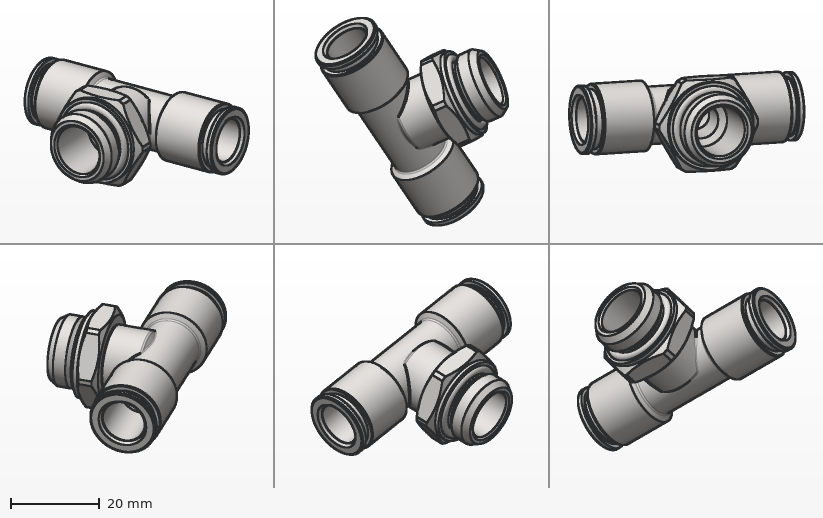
import cadquery as cq
import math

half_length = 25.5
bore_radius = 4.0
tube_radius = 6.55
socket_radius = 8.0
socket_outer_x = 22.5
socket_inner_x = 10.6
socket_chamfer_length = 0.3
socket_chamfer_depth = 0.15
shoulder_angle = math.radians(60)
shoulder_fillet = 0.5

collar_radius = 7.75
collar_thickness = 1.2
collar_chamfer_length = 0.25
collar_chamfer_depth = 0.3
sleeve_radius = 6.85
sleeve_relief_depth = 0.15
sleeve_relief_length = 0.2

step_angle = math.radians(30)

mouth_radius = 5.65
mouth_chamfer_depth = 0.5
mouth_chamfer_length = 0.85
tube_seat_radius = 5.0
tube_seat_x = 12.25

hub_radius = 7.9
hub_shoulder_y = -2.3
cap_slope = 2 / 3
cap_round = 0.55
hub_blend = 0.25
hub_end_y = -10.75
relief_radius = 7.65

hex_start_y = -10.95
hex_end_y = -16.0
across_flats = 21.0
hex_corner_radius = 11.8
hex_face_radius = 10.05
hex_chamfer_angle = math.radians(30)
flange_end_y = -17.05
seal_outer_radius = 9.25

neck_radius = 7.25
neck_end_y = -18.25
thread_radius = 8.25
thread_start_y = -19.4
thread_taper_y = -22.3
branch_end_y = -24.0
thread_tip_radius = 7.2

branch_mouth_radius = 6.2
branch_mouth_chamfer = 0.5
branch_bore_end_y = -11.2


def ring_on_x(profile):
    """Revolve a closed (x, radius) outline about the X axis."""
    return profile.close().revolve(360, (0, 0, 0), (1, 0, 0))


def ring_on_y(profile):
    """Revolve a closed (radius, y) outline about the Y axis."""
    return profile.close().revolve(360, (0, 0, 0), (0, 1, 0))


def make_junction():
    """Plain middle of the run joined to the hub, with a blend around the joint."""
    tube = cq.Workplane("YZ").circle(tube_radius).extrude(socket_inner_x, both=True)
    cap_top_y = hub_shoulder_y + cap_slope * hub_radius
    hub = ring_on_y(
        cq.Workplane("XY")
        .moveTo(0, hub_end_y)
        .lineTo(hub_radius, hub_end_y)
        .lineTo(hub_radius, hub_shoulder_y)
        .lineTo(0, cap_top_y)
    )
    hub = hub.edges("%CIRCLE").edges(">Y").fillet(cap_round)
    junction = tube.union(hub)
    margin = 0.05
    joint = cq.selectors.BoxSelector(
        (-hub_radius - margin, -tube_radius - margin, -tube_radius - margin),
        (hub_radius + margin, 0, tube_radius + margin),
        boundingbox=True,
    )
    return junction.edges(joint).fillet(hub_blend)


def make_socket():
    """Socket with its conical shoulder and release collar, at the +X end."""
    shoulder_run = 1 / math.tan(shoulder_angle)
    shoulder_foot_x = socket_inner_x - (socket_radius - tube_radius) * shoulder_run
    tangent = shoulder_fillet * math.tan(shoulder_angle / 2)
    fillet_top = (
        shoulder_foot_x + tangent * math.cos(shoulder_angle),
        tube_radius + tangent * math.sin(shoulder_angle),
    )
    collar_x = half_length - collar_thickness
    sleeve_relief_radius = sleeve_radius - sleeve_relief_depth
    return ring_on_x(
        cq.Workplane("XY")
        .moveTo(0, 0)
        .lineTo(0, tube_radius)
        .lineTo(shoulder_foot_x - tangent, tube_radius)
        .tangentArcPoint(fillet_top, relative=False)
        .lineTo(socket_inner_x, socket_radius)
        .lineTo(socket_outer_x - socket_chamfer_length, socket_radius)
        .lineTo(socket_outer_x, socket_radius - socket_chamfer_depth)
        .lineTo(socket_outer_x, sleeve_radius)
        .lineTo(collar_x - 2 * sleeve_relief_length, sleeve_radius)
        .lineTo(collar_x - sleeve_relief_length, sleeve_relief_radius)
        .lineTo(collar_x, sleeve_relief_radius)
        .lineTo(collar_x, collar_radius)
        .lineTo(half_length - collar_chamfer_length, collar_radius)
        .lineTo(half_length, collar_radius - collar_chamfer_depth)
        .lineTo(half_length, 0)
    )


def make_hexagon():
    """Hexagon with turned corners and a conical chamfer on both faces."""
    height = hex_start_y - hex_end_y
    prism = (
        cq.Workplane("XZ", origin=(0, hex_start_y, 0))
        .polygon(6, across_flats, circumscribed=True)
        .extrude(height)
        .rotate((0, 0, 0), (0, 1, 0), 30)
    )
    chamfer = (hex_corner_radius - hex_face_radius) * math.tan(hex_chamfer_angle)
    turned = ring_on_y(
        cq.Workplane("XY")
        .moveTo(0, hex_start_y)
        .lineTo(hex_face_radius, hex_start_y)
        .lineTo(hex_corner_radius, hex_start_y - chamfer)
        .lineTo(hex_corner_radius, hex_end_y + chamfer)
        .lineTo(hex_face_radius, hex_end_y)
        .lineTo(0, hex_end_y)
    )
    return prism.intersect(turned)


def make_branch_end():
    """Relief, flange, half-round seal and chamfered thread of the branch."""
    seal_section_radius = (seal_outer_radius - neck_radius) / 2
    seal_crest = (neck_radius + seal_section_radius, flange_end_y - seal_section_radius)
    return ring_on_y(
        cq.Workplane("XY")
        .moveTo(0, hub_end_y)
        .lineTo(relief_radius, hub_end_y)
        .lineTo(relief_radius, hex_end_y)
        .lineTo(hex_face_radius, hex_end_y)
        .lineTo(hex_face_radius, flange_end_y)
        .lineTo(seal_outer_radius, flange_end_y)
        .threePointArc(seal_crest, (neck_radius, flange_end_y))
        .lineTo(neck_radius, neck_end_y)
        .lineTo(thread_radius, thread_start_y)
        .lineTo(thread_radius, thread_taper_y)
        .lineTo(thread_tip_radius, branch_end_y)
        .lineTo(0, branch_end_y)
    )


def make_socket_bore():
    """Bore of the +X half: chamfered mouth, tube seat and conical step to the through bore."""
    step_run = (tube_seat_radius - bore_radius) * math.tan(step_angle)
    throat_x = half_length - mouth_chamfer_length
    return ring_on_x(
        cq.Workplane("XY")
        .moveTo(0, 0)
        .lineTo(0, bore_radius)
        .lineTo(tube_seat_x - step_run, bore_radius)
        .lineTo(tube_seat_x, tube_seat_radius)
        .lineTo(throat_x, tube_seat_radius)
        .lineTo(throat_x, mouth_radius - mouth_chamfer_depth)
        .lineTo(half_length, mouth_radius)
        .lineTo(half_length, 0)
    )


def make_branch_bore():
    """Bore of the branch: chamfered mouth, wide bore and conical step to the run's bore size."""
    wide_radius = branch_mouth_radius - branch_mouth_chamfer
    step_run = (wide_radius - bore_radius) * math.tan(step_angle)
    return ring_on_y(
        cq.Workplane("XY")
        .moveTo(0, 0)
        .lineTo(bore_radius, 0)
        .lineTo(bore_radius, branch_bore_end_y + step_run)
        .lineTo(wide_radius, branch_bore_end_y)
        .lineTo(wide_radius, branch_end_y + branch_mouth_chamfer)
        .lineTo(branch_mouth_radius, branch_end_y)
        .lineTo(0, branch_end_y)
    )


socket = make_socket()
socket_bore = make_socket_bore()

result = (
    make_junction()
    .union(socket)
    .union(socket.mirror("YZ"))
    .union(make_branch_end())
    .union(make_hexagon())
    .cut(socket_bore)
    .cut(socket_bore.mirror("YZ"))
    .cut(make_branch_bore())
)